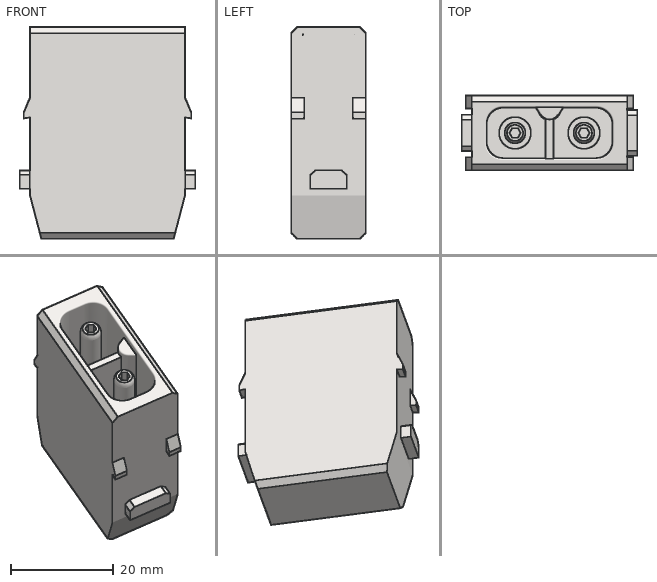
import cadquery as cq
import math

HEIGHT = 41.4
BODY_LENGTH = 30.3
BODY_DEPTH = 14.6
EDGE_CHAMFER = 1.2
TAPER_TOP = 8.53
TAPER_INSET = 2.25

OVERALL_LENGTH = 34.3
LUG_WIDTH_LEFT = 7.12
LUG_WIDTH_RIGHT = 9.0
LUG_TOP = 13.37
LUG_BOTTOM = 9.75
LUG_CHAMFER_WIDTH = 1.0
LUG_CHAMFER_HEIGHT = 0.85

LATCH_REACH = 1.2
LATCH_WIDTH = 2.55
LATCH_TOP = 27.57
LATCH_RAMP_END = 24.7
LATCH_BOTTOM = 23.7
LATCH_HOOK = 0.15

CAVITY_LENGTH = 24.5
CAVITY_WIDTH = 9.8
CAVITY_CORNER = 3.15
CAVITY_FLOOR = 22.75
DRAFT = 0.4
EDGE_ROUND = 0.3
WALL_OVERLAP = 0.4

PIN_SPACING = 13.45
PIN_RADIUS = 2.03
PIN_TIP_RADIUS = 1.57
PIN_TOP = HEIGHT - 0.37
PIN_ROUND_HEIGHT = 1.15
HEX_ACROSS_FLATS = 1.9
HEX_DEPTH = 2.5
COLLAR_RADIUS = 3.1
COLLAR_HEIGHT = 0.5

POST_TOP = HEIGHT - 1.5
POST_REACH = 2.4
POST_RADIUS = 2.15
POST_FLARE = math.radians(30)

RIB_TOP = HEIGHT - 2.77
RIB_TOP_WIDTH = 1.35

BODY_HALF = BODY_LENGTH / 2
CAVITY_REAR = CAVITY_WIDTH / 2


def make_body():
    bottom_half = BODY_HALF - TAPER_INSET
    front_outline = [
        (-bottom_half, 0),
        (bottom_half, 0),
        (BODY_HALF, TAPER_TOP),
        (BODY_HALF, HEIGHT),
        (-BODY_HALF, HEIGHT),
        (-BODY_HALF, TAPER_TOP),
    ]
    tapered = cq.Workplane("XZ").polyline(front_outline).close().extrude(BODY_DEPTH / 2, both=True)
    chamfered = (
        cq.Workplane("YZ")
        .center(0, HEIGHT / 2)
        .rect(BODY_DEPTH, HEIGHT)
        .extrude(BODY_HALF, both=True)
        .edges("|X")
        .chamfer(EDGE_CHAMFER)
    )
    return tapered.intersect(chamfered)


def make_lug(side, width):
    half = width / 2
    outline = [
        (-half, LUG_BOTTOM),
        (half, LUG_BOTTOM),
        (half, LUG_TOP - LUG_CHAMFER_HEIGHT),
        (half - LUG_CHAMFER_WIDTH, LUG_TOP),
        (-half + LUG_CHAMFER_WIDTH, LUG_TOP),
        (-half, LUG_TOP - LUG_CHAMFER_HEIGHT),
    ]
    reach = (OVERALL_LENGTH - BODY_LENGTH) / 2
    end_face = cq.Workplane("YZ", origin=(side * BODY_HALF, 0, 0))
    return end_face.polyline(outline).close().extrude(side * reach)


def make_latch(side, y_side):
    root = side * BODY_HALF
    tip = side * (BODY_HALF + LATCH_REACH)
    outline = [
        (root, LATCH_BOTTOM),
        (tip, LATCH_BOTTOM - LATCH_HOOK),
        (tip, LATCH_RAMP_END),
        (root, LATCH_TOP),
    ]
    y_centre = y_side * (BODY_DEPTH - LATCH_WIDTH) / 2
    latch = cq.Workplane("XZ").polyline(outline).close().extrude(LATCH_WIDTH / 2, both=True)
    return latch.translate((0, y_centre, 0))


def cut_cavity(body):
    floor_outline = cq.Sketch().rect(CAVITY_LENGTH, CAVITY_WIDTH).vertices().fillet(CAVITY_CORNER)
    pocket = (
        cq.Workplane("XY", origin=(0, 0, CAVITY_FLOOR))
        .placeSketch(floor_outline)
        .extrude(HEIGHT - CAVITY_FLOOR, taper=-DRAFT)
    )
    hollow = body.cut(pocket)
    mouth_edges = hollow.faces(">Z").val().innerWires()[0].Edges()
    return hollow.newObject(mouth_edges).fillet(EDGE_ROUND)


def make_pin(x):
    round_start = PIN_TOP - PIN_ROUND_HEIGHT
    profile = (
        cq.Workplane("XZ")
        .moveTo(0, CAVITY_FLOOR)
        .lineTo(COLLAR_RADIUS, CAVITY_FLOOR)
        .lineTo(COLLAR_RADIUS, CAVITY_FLOOR + COLLAR_HEIGHT)
        .lineTo(PIN_RADIUS, CAVITY_FLOOR + COLLAR_HEIGHT)
        .lineTo(PIN_RADIUS, round_start)
        .tangentArcPoint((PIN_TIP_RADIUS, PIN_TOP), relative=False)
        .lineTo(0, PIN_TOP)
        .close()
    )
    pin = profile.revolve(360, (0, 0, 0), (0, 1, 0))
    hex_across_corners = HEX_ACROSS_FLATS / math.cos(math.pi / 6)
    socket = (
        cq.Workplane("XY", origin=(0, 0, PIN_TOP))
        .polygon(6, hex_across_corners)
        .extrude(-HEX_DEPTH)
    )
    return pin.cut(socket).translate((x, 0, 0))


def make_post():
    nose_y = CAVITY_REAR - POST_REACH
    centre_y = nose_y + POST_RADIUS
    back_y = CAVITY_REAR + WALL_OVERLAP
    tangent_x = POST_RADIUS * math.cos(POST_FLARE)
    tangent_y = centre_y - POST_RADIUS * math.sin(POST_FLARE)
    back_x = tangent_x + (back_y - tangent_y) * math.tan(POST_FLARE)
    return (
        cq.Workplane("XY", origin=(0, 0, CAVITY_FLOOR))
        .moveTo(back_x, back_y)
        .lineTo(tangent_x, tangent_y)
        .threePointArc((0, nose_y), (-tangent_x, tangent_y))
        .lineTo(-back_x, back_y)
        .close()
        .extrude(POST_TOP - CAVITY_FLOOR, taper=DRAFT)
        .faces(">Z")
        .edges("not |X")
        .fillet(EDGE_ROUND)
    )


def make_rib():
    half_top = RIB_TOP_WIDTH / 2
    half_base = half_top + (RIB_TOP - CAVITY_FLOOR) * math.tan(math.radians(DRAFT))
    section = [
        (-half_base, CAVITY_FLOOR),
        (half_base, CAVITY_FLOOR),
        (half_top, RIB_TOP),
        (-half_top, RIB_TOP),
    ]
    half_length = CAVITY_REAR + WALL_OVERLAP
    return cq.Workplane("XZ").polyline(section).close().extrude(half_length, both=True)


result = cut_cavity(make_body())
for x in (-PIN_SPACING / 2, PIN_SPACING / 2):
    result = result.union(make_pin(x))
result = result.union(make_rib()).union(make_post())
result = result.union(make_lug(-1, LUG_WIDTH_LEFT)).union(make_lug(1, LUG_WIDTH_RIGHT))
for side in (-1, 1):
    for y_side in (-1, 1):
        result = result.union(make_latch(side, y_side))